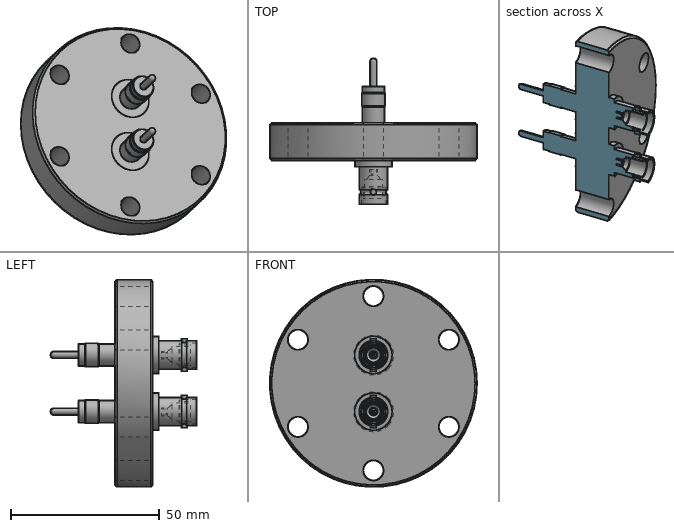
import cadquery as cq
import math

flange_diameter = 69.85
flange_thickness = 12.7
flange_chamfer = 0.7
bolt_count = 6
bolt_circle_radius = 29.35
bolt_hole_diameter = 6.7

feedthrough_spacing = 19.1

weld_collar_radius = 6.3
weld_collar_length = 2.1
body_radius = 4.8
body_front_y = -14.75
groove_center_y = -10.6
groove_width = 1.7
groove_depth = 0.55
lug_diameter = 2.0
lug_span = 11.05

mouth_radius = 4.1
mouth_depth = 5.6
mouth_taper_length = 0.4
sleeve_front_depth = 2.1
sleeve_outer_radius = 3.5
sleeve_bore_radius = 3.0
sleeve_bore_depth = 8.4
countersink_radius = 2.45
countersink_depth = 1.4
contact_bore_radius = 1.3
contact_bore_depth = 2.1
contact_radius = 1.0
contact_tip_radius = 0.35
contact_tip_length = 0.55

weld_lip_radius = 6.7
weld_lip_height = 0.1
stem_radius = 3.8
stem_length = 5.65
stem_end_chamfer = 0.2
stem_end_bevel_length = 0.4
ring_radius = 4.0
ring_length = 4.55
ring_bevel_length = 0.35
cap_length = 2.2
cap_chamfer = 0.2
pin_radius = 1.2
pin_length = 9.35


def make_flange():
    """Chamfered disc with a circle of through bolt holes, one hole at the top."""
    disc = cq.Workplane("XZ").circle(flange_diameter / 2).extrude(-flange_thickness)
    disc = disc.edges().chamfer(flange_chamfer)
    holes = (
        cq.Workplane("XZ")
        .polarArray(bolt_circle_radius, 90, 360, bolt_count)
        .circle(bolt_hole_diameter / 2)
        .extrude(-flange_thickness)
    )
    return disc.cut(holes)


def turn(profile):
    """Close a (radius, y) profile and revolve it about the Y axis."""
    return profile.close().revolve(360, (0, 0, 0), (0, 1, 0))


def make_socket():
    """Front half: weld collar, grooved body and two bayonet lugs, hollowed out."""
    groove_rear_y = groove_center_y + groove_width / 2
    groove_front_y = groove_center_y - groove_width / 2
    body = turn(
        cq.Workplane("XY")
        .moveTo(0, 0)
        .lineTo(weld_collar_radius, 0)
        .lineTo(weld_collar_radius, -weld_collar_length)
        .lineTo(body_radius, -weld_collar_length)
        .lineTo(body_radius, groove_rear_y)
        .threePointArc((body_radius - groove_depth, groove_center_y), (body_radius, groove_front_y))
        .lineTo(body_radius, body_front_y)
        .lineTo(0, body_front_y)
    )
    lugs = (
        cq.Workplane("XY")
        .center(0, groove_center_y)
        .circle(lug_diameter / 2)
        .extrude(lug_span / 2, both=True)
    )
    return body.union(lugs).cut(make_cavity())


def make_cavity():
    """Mouth around an inner sleeve, whose bore holds a countersunk hole around a contact pin."""
    mouth_bottom_y = body_front_y + mouth_depth
    sleeve_front_y = body_front_y + sleeve_front_depth
    bore_bottom_y = body_front_y + sleeve_bore_depth
    countersink_bottom_y = bore_bottom_y + countersink_depth
    contact_base_y = countersink_bottom_y + contact_bore_depth
    contact_shoulder_y = countersink_bottom_y + contact_tip_length
    return turn(
        cq.Workplane("XY")
        .moveTo(0, body_front_y)
        .lineTo(mouth_radius, body_front_y)
        .lineTo(mouth_radius, mouth_bottom_y)
        .lineTo(sleeve_outer_radius, mouth_bottom_y + mouth_taper_length)
        .lineTo(sleeve_outer_radius, sleeve_front_y)
        .lineTo(sleeve_bore_radius, sleeve_front_y)
        .lineTo(sleeve_bore_radius, bore_bottom_y)
        .lineTo(countersink_radius, bore_bottom_y)
        .lineTo(contact_bore_radius, countersink_bottom_y)
        .lineTo(contact_bore_radius, contact_base_y)
        .lineTo(contact_radius, contact_base_y)
        .lineTo(contact_radius, contact_shoulder_y)
        .lineTo(contact_tip_radius, countersink_bottom_y)
        .lineTo(0, countersink_bottom_y)
    )


def make_stem():
    """Rear half: weld lip, stem, raised ring, end cap and round-nosed pin."""
    stem_end_y = flange_thickness + stem_length
    ring_end_y = stem_end_y + ring_length
    cap_end_y = ring_end_y + cap_length
    pin_end_y = cap_end_y + pin_length
    pin_shoulder_y = pin_end_y - pin_radius
    lip_end_y = flange_thickness + weld_lip_height
    nose_offset = pin_radius * math.cos(math.pi / 4)
    nose_middle = (nose_offset, pin_shoulder_y + nose_offset)
    return turn(
        cq.Workplane("XY")
        .moveTo(0, flange_thickness)
        .lineTo(weld_lip_radius, flange_thickness)
        .lineTo(weld_lip_radius, lip_end_y)
        .lineTo(stem_radius, lip_end_y)
        .lineTo(stem_radius, stem_end_y - stem_end_bevel_length)
        .lineTo(stem_radius - stem_end_chamfer, stem_end_y)
        .lineTo(ring_radius, stem_end_y)
        .lineTo(ring_radius, ring_end_y - ring_bevel_length)
        .lineTo(stem_radius, ring_end_y)
        .lineTo(stem_radius, cap_end_y - cap_chamfer)
        .lineTo(stem_radius - cap_chamfer, cap_end_y)
        .lineTo(pin_radius, cap_end_y)
        .lineTo(pin_radius, pin_shoulder_y)
        .threePointArc(nose_middle, (0, pin_end_y))
    )


result = make_flange()
feedthrough_halves = (make_socket(), make_stem())
for height in (-feedthrough_spacing / 2, feedthrough_spacing / 2):
    for half in feedthrough_halves:
        result = result.union(half.translate((0, 0, height)))